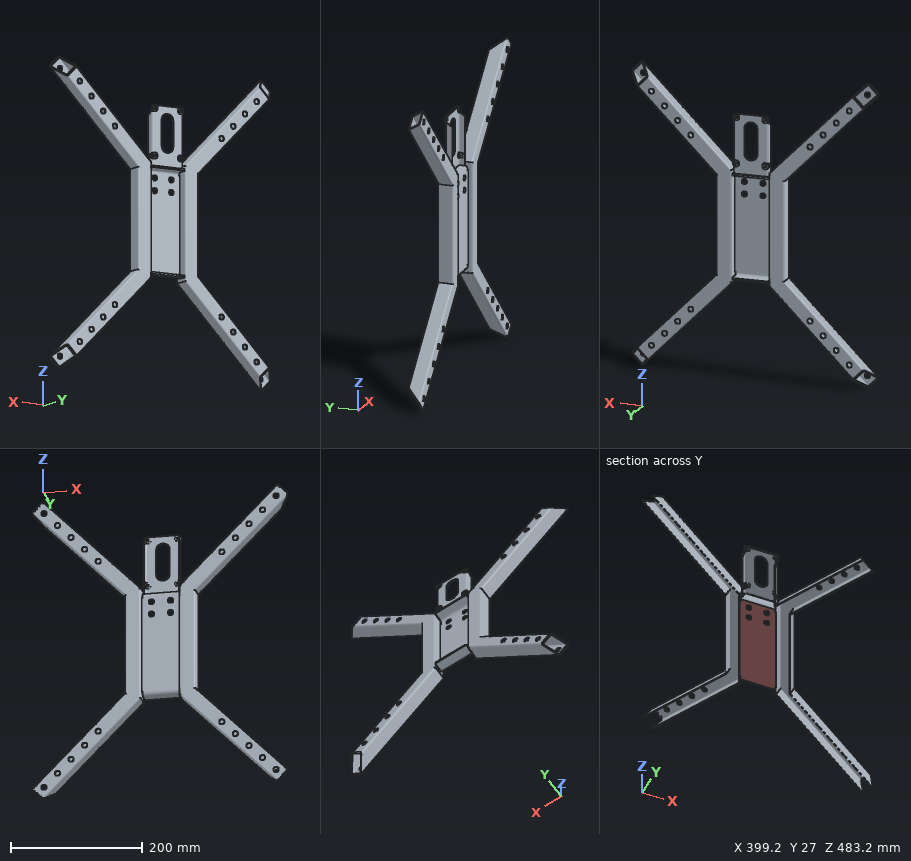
import cadquery as cq
import math

TUBE_SIZE = 25.0
TUBE_WALL = 2.0
TUBE_CORNER_RADIUS = 3.0
TUBE_INNER_X = 30.0
BEND_Z = 84.5
ARM_SPAN = 149.5
ARM_ANGLE = math.radians(45)
HOLE_DIAMETER = 8.0
ARM_HOLE_COUNT = 5
ARM_HOLE_PITCH = 30.0
ARM_HOLE_END_DISTANCE = 15.0

PLATE_FRONT_Y = 7.3
PLATE_BACK_Y = 27.0
PLATE_HALF_HEIGHT = 84.0
PLATE_THICKNESS = 3.0
PLATE_BEND_RADIUS = 7.0
LIP_HALF_WIDTH = 29.0
LIP_TRIM_HEIGHT = 7.5
LIP_CORNER_RADIUS = 2.5
PLATE_HOLE_X = 15.0
PLATE_HOLE_TOP_Z = 68.5
PLATE_HOLE_PITCH_Z = 20.0
PLATE_HOLE_ROWS = 2

HEAD_HALF_WIDTH = 28.5
HEAD_TOP_Z = 179.5
HEAD_BACK_Y = 22.5
HEAD_THICKNESS = 2.0
HEAD_CORNER_RADIUS = 5.5
HEAD_BEND_RADIUS = 4.1
FLANGE_FRONT_Y = 11.5
FLANGE_TOP_Z = 170.0
FLANGE_CHAMFER_HEIGHT = 5.0
SLOT_WIDTH = 21.5
SLOT_LENGTH = 60.5
SLOT_CENTRE_Z = 137.5
BOSS_DIAMETER = 10.0
BOSS_HOLE_DIAMETER = 3.5
BOSS_X = 23.5
BOSS_HEIGHTS = (100.5, 174.0)
BOSS_PROTRUSION = 1.0
RELIEF_DEPTH = 6.0

TUBE_AXIS_X = TUBE_INNER_X + TUBE_SIZE / 2
ARM_END_X = TUBE_AXIS_X + ARM_SPAN
ARM_END_Z = BEND_Z + ARM_SPAN


def front_plane(y):
    """Sketch plane parallel to XZ at depth y; extruding goes toward +Y."""
    return cq.Workplane(cq.Plane(origin=(0, y, 0), xDir=(1, 0, 0), normal=(0, -1, 0)))


def cylinder_y(diameter, x, z, y_start, y_end):
    """Cylinder along Y between two depths."""
    return front_plane(y_start).center(x, z).circle(diameter / 2).extrude(y_start - y_end)


def tube_bar(size, corner_radius):
    """Solid bar of square section swept along the bent centreline with mitred corners."""
    axis_y = TUBE_SIZE / 2
    direction = (-math.cos(ARM_ANGLE), 0, -math.sin(ARM_ANGLE))
    section = cq.Plane(origin=(ARM_END_X, axis_y, ARM_END_Z), xDir=(0, 1, 0), normal=direction)
    path = cq.Workplane("XZ", origin=(0, axis_y, 0)).polyline([
        (ARM_END_X, ARM_END_Z),
        (TUBE_AXIS_X, BEND_Z),
        (TUBE_AXIS_X, -BEND_Z),
        (ARM_END_X, -ARM_END_Z),
    ])
    profile = cq.Sketch().rect(size, size).vertices().fillet(corner_radius)
    return cq.Workplane(section).placeSketch(profile).sweep(path, transition="right")


def arm_end_cutter():
    """Wedge that bevels the upper arm end at 45 degrees, leaving the front face longest."""
    along = (math.cos(ARM_ANGLE), 0, math.sin(ARM_ANGLE))
    side = cq.Plane(
        origin=(ARM_END_X, 0, ARM_END_Z),
        xDir=along,
        normal=(-math.sin(ARM_ANGLE), 0, math.cos(ARM_ANGLE)),
    )
    corners = [(0, 0), (-TUBE_SIZE, TUBE_SIZE), (0, TUBE_SIZE)]
    wedge = cq.Workplane(side).polyline(corners).close()
    return wedge.extrude(TUBE_SIZE, both=True)


def right_leg():
    """Bent tube on the +X side with bevelled ends and a row of holes through each arm."""
    inner_size = TUBE_SIZE - 2 * TUBE_WALL
    leg = tube_bar(TUBE_SIZE, TUBE_CORNER_RADIUS)
    leg = leg.cut(tube_bar(inner_size, TUBE_CORNER_RADIUS - TUBE_WALL))
    bevel = arm_end_cutter()
    leg = leg.cut(bevel).cut(bevel.mirror("XY"))
    for index in range(ARM_HOLE_COUNT):
        distance = ARM_HOLE_END_DISTANCE + index * ARM_HOLE_PITCH
        x = ARM_END_X - distance * math.cos(ARM_ANGLE)
        z = ARM_END_Z - distance * math.sin(ARM_ANGLE)
        for side in (1, -1):
            leg = leg.cut(cylinder_y(HOLE_DIAMETER, x, side * z, 0, TUBE_SIZE))
    return leg


def centre_plate():
    """Sheet between the legs, with its top and bottom lips bent toward the back."""
    height = PLATE_BACK_Y - PLATE_FRONT_Y
    inner_half_height = PLATE_HALF_HEIGHT - PLATE_THICKNESS
    inner_front_y = PLATE_FRONT_Y + PLATE_THICKNESS
    outer = (
        front_plane(PLATE_FRONT_Y)
        .rect(2 * TUBE_INNER_X, 2 * PLATE_HALF_HEIGHT)
        .extrude(-height)
        .edges("|X and <Y")
        .fillet(PLATE_BEND_RADIUS)
    )
    inner = (
        front_plane(inner_front_y)
        .rect(2 * TUBE_INNER_X, 2 * inner_half_height)
        .extrude(-height)
        .edges("|X and <Y")
        .fillet(PLATE_BEND_RADIUS - PLATE_THICKNESS)
    )
    plate = outer.cut(inner)

    trim_width = TUBE_INNER_X - LIP_HALF_WIDTH
    trim_x = LIP_HALF_WIDTH + trim_width / 2
    trim_z = PLATE_HALF_HEIGHT - LIP_TRIM_HEIGHT / 2
    trims = (
        front_plane(PLATE_FRONT_Y)
        .rect(2 * trim_x, 2 * trim_z, forConstruction=True)
        .vertices()
        .rect(trim_width, LIP_TRIM_HEIGHT)
        .extrude(-height)
    )
    plate = plate.cut(trims)
    plate = plate.edges("|Z and >Y").fillet(LIP_CORNER_RADIUS)

    for x in (-PLATE_HOLE_X, PLATE_HOLE_X):
        for row in range(PLATE_HOLE_ROWS):
            z = PLATE_HOLE_TOP_Z - row * PLATE_HOLE_PITCH_Z
            plate = plate.cut(cylinder_y(HOLE_DIAMETER, x, z, PLATE_FRONT_Y, PLATE_BACK_Y))
    return plate


def head_bracket():
    """Slotted plate standing on the top lip, with forward flanges and four bored bosses."""
    depth = HEAD_BACK_Y - FLANGE_FRONT_Y
    height = HEAD_TOP_Z - PLATE_HALF_HEIGHT
    centre_z = PLATE_HALF_HEIGHT + height / 2
    head = (
        front_plane(FLANGE_FRONT_Y)
        .center(0, centre_z)
        .rect(2 * HEAD_HALF_WIDTH, height)
        .extrude(-depth)
        .edges("|Z and >Y")
        .fillet(HEAD_BEND_RADIUS)
    )
    inside = (
        front_plane(FLANGE_FRONT_Y)
        .center(0, centre_z)
        .rect(2 * (HEAD_HALF_WIDTH - HEAD_THICKNESS), height)
        .extrude(HEAD_THICKNESS - depth)
        .edges("|Z and >Y")
        .fillet(HEAD_BEND_RADIUS - HEAD_THICKNESS)
    )
    head = head.cut(inside)

    plate_front_y = HEAD_BACK_Y - HEAD_THICKNESS
    flange_slope = (
        cq.Workplane("YZ", origin=(-HEAD_HALF_WIDTH, 0, 0))
        .moveTo(plate_front_y, FLANGE_TOP_Z)
        .lineTo(FLANGE_FRONT_Y, FLANGE_TOP_Z - FLANGE_CHAMFER_HEIGHT)
        .lineTo(FLANGE_FRONT_Y, FLANGE_TOP_Z)
        .close()
        .extrude(2 * HEAD_HALF_WIDTH)
    )
    tab_height = HEAD_TOP_Z - FLANGE_TOP_Z
    tab = (
        front_plane(plate_front_y)
        .center(0, HEAD_TOP_Z - tab_height / 2)
        .rect(2 * HEAD_HALF_WIDTH, tab_height)
        .extrude(-HEAD_THICKNESS)
        .edges("|Y and >Z")
        .fillet(HEAD_CORNER_RADIUS)
    )
    channel_top = (
        front_plane(FLANGE_FRONT_Y)
        .center(0, HEAD_TOP_Z - tab_height / 2)
        .rect(2 * HEAD_HALF_WIDTH, tab_height)
        .extrude(-depth)
    )
    head = head.cut(flange_slope).cut(channel_top).union(tab)

    slot = (
        front_plane(FLANGE_FRONT_Y)
        .center(0, SLOT_CENTRE_Z)
        .slot2D(SLOT_LENGTH, SLOT_WIDTH, 90)
        .extrude(-depth)
    )
    head = head.cut(slot)
    boss_back_y = HEAD_BACK_Y + BOSS_PROTRUSION
    relief_front_y = plate_front_y - RELIEF_DEPTH
    for x in (-BOSS_X, BOSS_X):
        for z in BOSS_HEIGHTS:
            head = head.cut(cylinder_y(BOSS_DIAMETER, x, z, relief_front_y, plate_front_y))
            head = head.union(cylinder_y(BOSS_DIAMETER, x, z, plate_front_y, boss_back_y))
            head = head.cut(cylinder_y(BOSS_HOLE_DIAMETER, x, z, plate_front_y, boss_back_y))
    return head


leg_right = right_leg()
leg_left = leg_right.mirror("YZ")
plate = centre_plate()
head = head_bracket()

result = cq.Compound.makeCompound([leg_right.val(), leg_left.val(), plate.val(), head.val()])